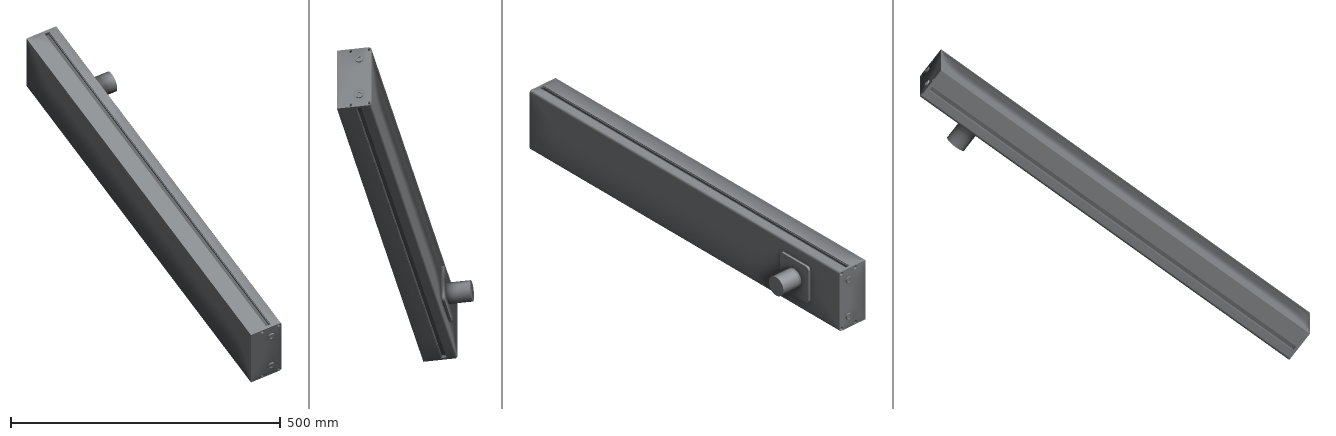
import cadquery as cq

BAR_LENGTH = 856.0
BAR_HEIGHT = 130.0
PAD_DEPTH = 20.0
PROFILE_DEPTH = 45.0
PLATE_THICKNESS = 6.0
PROFILE_LENGTH = BAR_LENGTH - 2 * PLATE_THICKNESS
BACK_Y = PAD_DEPTH + PROFILE_DEPTH
PROFILE_MID_Y = PAD_DEPTH + PROFILE_DEPTH / 2
HALF_HEIGHT = BAR_HEIGHT / 2

BACK_RADIUS = 5.0

SLOT_OFFSET = 20.0
SLOT_Y = PAD_DEPTH + SLOT_OFFSET
SLOT_WIDTH = 8.0
SLOT_DEPTH = 6.5
SLOT_MOUTH_WIDTH = 10.0
SLOT_MOUTH_DEPTH = 2.0

PLUG_DIAMETER = 14.0
PLUG_HEIGHT = 3.0
PLUG_SOCKET_SIZE = 9.0
HEXAGON_SIDES = 6
PLUG_SOCKET_DEPTH = 2.0
PLUG_SPACING = 80.0

CORNER_HOLE_DIAMETER = 4.0
CORNER_SINK_DIAMETER = 7.0
CORNER_SINK_ANGLE = 90.0
CORNER_HOLE_INSET = 5.0

CONNECTOR_END_OFFSET = 120.0
CONNECTOR_X = CONNECTOR_END_OFFSET - BAR_LENGTH / 2
FLANGE_SIZE = 79.0
FLANGE_CORNER_RADIUS = 7.0
FLANGE_THICKNESS = 5.0
PIPE_DIAMETER = 40.0
PIPE_LENGTH = 45.0


def bar_block(length, front_y, depth):
    """Full-height block centred on X and Z."""
    return cq.Workplane("XY").box(length, depth, BAR_HEIGHT).translate((0, front_y + depth / 2, 0))


def make_profile():
    """Solid extrusion with rounded back edges and a stepped slot above and below."""
    profile = bar_block(PROFILE_LENGTH, PAD_DEPTH, PROFILE_DEPTH)
    profile = profile.faces(">Y").edges("|X").fillet(BACK_RADIUS)
    for side in (1, -1):
        for width, depth in ((SLOT_WIDTH, SLOT_DEPTH), (SLOT_MOUTH_WIDTH, SLOT_MOUTH_DEPTH)):
            groove = cq.Workplane("XY").box(PROFILE_LENGTH, width, 2 * depth)
            profile = profile.cut(groove.translate((0, SLOT_Y, side * HALF_HEIGHT)))
    return profile


def make_end_plate(side):
    """End plate with its two plugs; side is -1 for the -X end and 1 for the +X end."""
    plate = bar_block(PLATE_THICKNESS, PAD_DEPTH, PROFILE_DEPTH)
    plate = plate.faces(">Y").edges("|X").fillet(BACK_RADIUS)
    outer_x = PLATE_THICKNESS / 2
    corner_z = HALF_HEIGHT - CORNER_HOLE_INSET
    corners = [
        (y, z)
        for y in (PAD_DEPTH + CORNER_HOLE_INSET, BACK_Y - CORNER_HOLE_INSET)
        for z in (corner_z, -corner_z)
    ]
    plate = (
        plate.copyWorkplane(cq.Workplane("YZ", origin=(outer_x, 0, 0)))
        .pushPoints(corners)
        .cskHole(CORNER_HOLE_DIAMETER, CORNER_SINK_DIAMETER, CORNER_SINK_ANGLE)
    )
    plug_centres = [(PROFILE_MID_Y, PLUG_SPACING / 2), (PROFILE_MID_Y, -PLUG_SPACING / 2)]
    plugs = (
        cq.Workplane("YZ", origin=(outer_x, 0, 0))
        .pushPoints(plug_centres)
        .circle(PLUG_DIAMETER / 2)
        .extrude(PLUG_HEIGHT)
    )
    sockets = (
        cq.Workplane("YZ", origin=(outer_x + PLUG_HEIGHT, 0, 0))
        .pushPoints(plug_centres)
        .polygon(HEXAGON_SIDES, PLUG_SOCKET_SIZE)
        .extrude(-PLUG_SOCKET_DEPTH)
    )
    plate = plate.union(plugs).cut(sockets)
    if side < 0:
        plate = plate.mirror("YZ")
    return plate.translate((side * (BAR_LENGTH - PLATE_THICKNESS) / 2, 0, 0))


def make_connector():
    """Square rounded flange carrying a round pipe stub on the back of the profile."""
    flange = (
        cq.Workplane("XZ", origin=(CONNECTOR_X, BACK_Y, 0))
        .rect(FLANGE_SIZE, FLANGE_SIZE)
        .extrude(-FLANGE_THICKNESS)
        .edges("|Y")
        .fillet(FLANGE_CORNER_RADIUS)
    )
    pipe = (
        cq.Workplane("XZ", origin=(CONNECTOR_X, BACK_Y + FLANGE_THICKNESS, 0))
        .circle(PIPE_DIAMETER / 2)
        .extrude(-PIPE_LENGTH)
    )
    return flange.union(pipe)


pad = bar_block(BAR_LENGTH, 0, PAD_DEPTH)
profile = make_profile()
end_plates = [make_end_plate(side) for side in (-1, 1)]
connector = make_connector()

result = cq.Compound.makeCompound(
    [pad.val(), profile.val(), *[plate.val() for plate in end_plates], connector.val()]
)